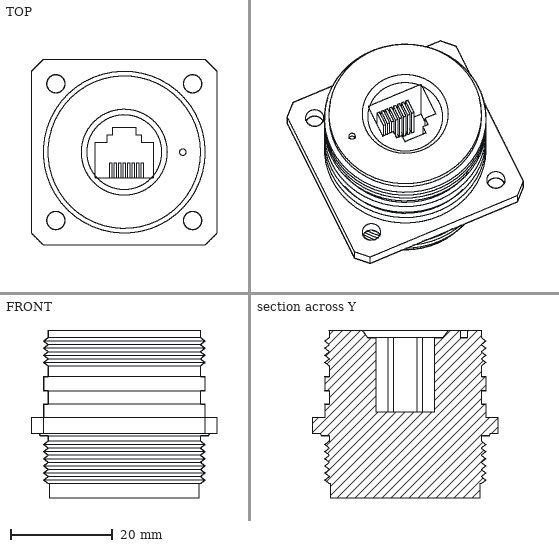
import cadquery as cq

flange_side = 36.58
height = 33.05

barrel_radius = 30.05 / 2
thread_radius = 31.85 / 2
nose_radius = 29.52 / 2
seat_top_radius = 16.8
seat_bottom_radius = 16.57

upper_thread_count = 4
lower_thread_count = 6
lower_thread_length = 8.4
thread_pitch = lower_thread_length / lower_thread_count

nose_height = 2.8
lower_thread_top = nose_height + lower_thread_length
seat_height = 0.48
flange_bottom = 12.7
flange_thickness = 3.2
flange_top = flange_bottom + flange_thickness
shoulder_height = 2.65
collar_bottom = 21.1
collar_height = 2.78
top_land_height = 1.43
upper_thread_bottom = height - top_land_height - upper_thread_count * thread_pitch

corner_chamfer = 2.35
mount_hole_diameter = 3.55
mount_hole_offset = 13.45

recess_top_radius = 16.95 / 2
recess_floor_radius = 14.75 / 2
recess_depth = 1.43
recess_floor = height - recess_depth
marker_diameter = 1.28
marker_offset = 11.52
marker_depth = 1.45

socket_half_width = 5.75
socket_bottom_y = -5.1
socket_shoulder_y = 1.9
key_half_width = 3.4
key_shoulder_y = 3.35
latch_half_width = 2.25
latch_top_y = 4.83
socket_depth = 14.65

contact_count = 8
contact_pitch = 0.88
contact_width = 0.5
contact_reach = 2.93
contact_top_drop = 5.12
first_contact_x = -2.65


def cylinder(radius, bottom, length):
    return cq.Workplane("XY").workplane(offset=bottom).circle(radius).extrude(length)


def cone(bottom_radius, top_radius, bottom, length):
    base_center = cq.Vector(0, 0, bottom)
    return cq.Workplane(cq.Solid.makeCone(bottom_radius, top_radius, length, pnt=base_center))


def thread(bottom, count):
    """Core cylinder with sharp rings, revolved from a sawtooth outline."""
    points = [(0, bottom), (barrel_radius, bottom)]
    for turn in range(count):
        root = bottom + turn * thread_pitch
        points.append((thread_radius, root + thread_pitch / 2))
        points.append((barrel_radius, root + thread_pitch))
    points.append((0, bottom + count * thread_pitch))
    outline = cq.Workplane("XZ").polyline(points).close()
    return outline.revolve(360, (0, 0, 0), (0, 1, 0))


def flange():
    plate = (
        cq.Workplane("XY")
        .workplane(offset=flange_bottom)
        .rect(flange_side, flange_side)
        .extrude(flange_thickness)
        .edges("|Z")
        .chamfer(corner_chamfer)
    )
    return (
        plate.faces(">Z")
        .workplane()
        .rect(2 * mount_hole_offset, 2 * mount_hole_offset)
        .vertices()
        .hole(mount_hole_diameter)
    )


def barrel():
    core = cylinder(barrel_radius, lower_thread_top, height - lower_thread_top)
    return (
        core.union(cylinder(nose_radius, 0, nose_height))
        .union(thread(nose_height, lower_thread_count))
        .union(thread(upper_thread_bottom, upper_thread_count))
        .union(cone(seat_bottom_radius, seat_top_radius, flange_bottom - seat_height, seat_height))
        .union(cylinder(thread_radius, flange_top, shoulder_height))
        .union(cylinder(thread_radius, collar_bottom, collar_height))
    )


def contacts():
    rib_height = socket_depth - contact_top_drop
    centers = [
        (first_contact_x + i * contact_pitch, socket_bottom_y + contact_reach / 2)
        for i in range(contact_count)
    ]
    return (
        cq.Workplane("XY")
        .workplane(offset=recess_floor - socket_depth)
        .pushPoints(centers)
        .rect(contact_width, contact_reach)
        .extrude(rib_height)
    )


def socket():
    """Cutting body of the jack socket, leaving the contact ribs standing."""
    right_side = [
        (socket_half_width, socket_bottom_y),
        (socket_half_width, socket_shoulder_y),
        (key_half_width, socket_shoulder_y),
        (key_half_width, key_shoulder_y),
        (latch_half_width, key_shoulder_y),
        (latch_half_width, latch_top_y),
    ]
    left_side = [(-x, y) for x, y in reversed(right_side)]
    opening = (
        cq.Workplane("XY")
        .workplane(offset=recess_floor)
        .polyline(right_side + left_side)
        .close()
        .extrude(-socket_depth)
    )
    return opening.cut(contacts())


recess = cone(recess_floor_radius, recess_top_radius, recess_floor, recess_depth)
marker_hole = cylinder(marker_diameter / 2, height - marker_depth, marker_depth)
marker_hole = marker_hole.translate((marker_offset, 0, 0))

result = barrel().union(flange()).cut(recess).cut(socket()).cut(marker_hole)